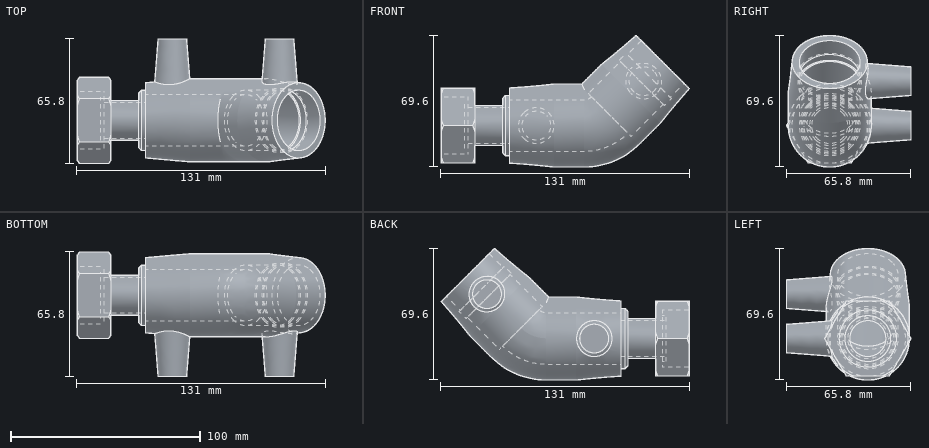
import cadquery as cq
import math

overall_length = 131

nut_length = 17.8
nut_across_flats = 39.5
nut_corner_diameter = nut_across_flats / math.cos(math.pi / 6)
nut_face_diameter = 42.3
nut_chamfer_length = 1.2
nut_bore_diameter = 30.3
nut_bore_depth = 14.1

spigot_diameter = 21.2
spigot_bore_diameter = 19.0
spigot_lip_diameter = 24.2
spigot_lip_start = 12.3
collar_start = 32.4
collar_diameter = 32.0
collar_chamfer = 1.6

body_diameter = 44.0
mouth_diameter = 39.8
taper_length = 23.7
straight_length = 15.9
leg_length = taper_length + straight_length
bend_angle = 45
bend_radius = 19.0
bend_sine = math.sin(math.radians(bend_angle))
bend_cosine = math.cos(math.radians(bend_angle))
mouth_reach = bend_radius * bend_sine + leg_length * bend_cosine + mouth_diameter / 2 * bend_sine
bend_start = overall_length - mouth_reach
body_start = bend_start - leg_length
elbow_bore_diameter = 27.2

socket_diameter = 32.0
groove_diameter = 33.8
groove_from_mouth = 10.3
groove_width = 5.2

shroud_end = 43.0
shroud_tip_diameter = 15.2
shroud_root_diameter = 22.0
shroud_from_mouth = 14.3


def cylinder(diameter, start, end):
    """Cylinder about the X axis between two X positions."""
    return cq.Workplane("YZ", origin=(start, 0, 0)).circle(diameter / 2).extrude(end - start)


def onto_angled_leg(shape):
    """Carry a shape placed at the end of the straight inlet leg round the bend."""
    pivot = (bend_start, 0, bend_radius)
    pivot_end = (bend_start, 1, bend_radius)
    return shape.rotate(pivot, pivot_end, -bend_angle)


def make_nut():
    hexagon = cq.Workplane("YZ").polygon(6, nut_corner_diameter).extrude(nut_length)
    corner_radius = nut_corner_diameter / 2
    face_radius = nut_face_diameter / 2
    envelope = (
        cq.Workplane("XY")
        .moveTo(0, 0)
        .lineTo(0, face_radius)
        .lineTo(nut_chamfer_length, corner_radius)
        .lineTo(nut_length - nut_chamfer_length, corner_radius)
        .lineTo(nut_length, face_radius)
        .lineTo(nut_length, 0)
        .close()
        .revolve(360, (0, 0, 0), (1, 0, 0))
    )
    return hexagon.intersect(envelope)


def make_leg():
    """Inlet leg, tapering down towards its mouth."""
    return (
        cq.Workplane("XY")
        .moveTo(body_start, 0)
        .lineTo(body_start, mouth_diameter / 2)
        .lineTo(body_start + taper_length, body_diameter / 2)
        .lineTo(bend_start, body_diameter / 2)
        .lineTo(bend_start, 0)
        .close()
        .revolve(360, (0, 0, 0), (1, 0, 0))
    )


def make_bend(diameter):
    """Bend swept by the part of the round section below the bend axis."""
    limit_size = 2 * diameter
    section = (
        cq.Sketch()
        .circle(diameter / 2)
        .push([(0, bend_radius - limit_size / 2)])
        .rect(limit_size, limit_size, mode="i")
    )
    return (
        cq.Workplane("YZ", origin=(bend_start, 0, 0))
        .placeSketch(section)
        .revolve(bend_angle, (1.3, bend_radius), (0, bend_radius))
    )


def make_shroud(x):
    """Tapered terminal shroud rooted on the XZ plane."""
    return (
        cq.Workplane("XY")
        .moveTo(x, 0)
        .lineTo(x + shroud_root_diameter / 2, 0)
        .lineTo(x + shroud_tip_diameter / 2, shroud_end)
        .lineTo(x, shroud_end)
        .close()
        .revolve(360, (x, 0, 0), (x, 1, 0))
    )


nut = make_nut()
spigot = cylinder(spigot_diameter, nut_bore_depth, body_start)
spigot_lip = cylinder(spigot_lip_diameter, spigot_lip_start, nut_length)
collar = cylinder(collar_diameter, collar_start, body_start).faces("<X").chamfer(collar_chamfer)

inlet_leg = make_leg().union(make_shroud(body_start + shroud_from_mouth))
outlet_mouth = bend_start + leg_length
outlet_leg = make_leg().mirror("YZ", (bend_start, 0, 0))
outlet_leg = onto_angled_leg(outlet_leg.union(make_shroud(outlet_mouth - shroud_from_mouth)))

groove_end = outlet_mouth - groove_from_mouth
socket = cylinder(socket_diameter, bend_start, outlet_mouth)
groove = cylinder(groove_diameter, groove_end - groove_width, groove_end)
bores = [
    cylinder(spigot_bore_diameter, 0, body_start),
    cylinder(elbow_bore_diameter, body_start, bend_start),
    make_bend(elbow_bore_diameter),
    onto_angled_leg(socket.union(groove)),
]

result = nut.cut(cylinder(nut_bore_diameter, 0, nut_bore_depth))
for piece in (spigot_lip, spigot, collar, inlet_leg, make_bend(body_diameter), outlet_leg):
    result = result.union(piece)
for bore in bores:
    result = result.cut(bore)